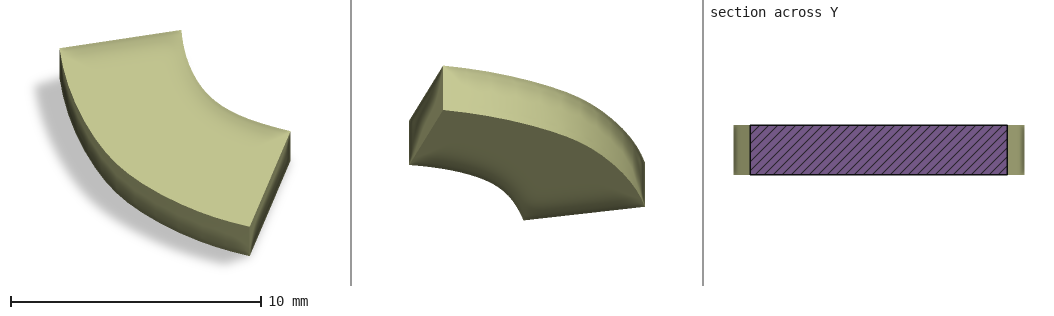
import cadquery as cq

width = 11.64
thickness = 2.0

outer_corner_height = 2.0
outer_flank_points = [(2.04, 0.29), (4.07, 1.01)]
outer_right_corner = (width / 2, outer_corner_height)
outer_left_corner = (-width / 2, outer_corner_height)

inner_right_corner = (3.32, 6.32)
inner_left_corner = (-3.32, 6.29)
inner_curve_points = [(1.82, 5.47), (0.7, 5.09), (-0.15, 5.0), (-0.99, 5.12), (-1.83, 5.4)]


def mirrored(points):
    """Reflect points across the Y axis."""
    return [(-x, y) for x, y in points]


outer_curve_points = mirrored(outer_flank_points[::-1]) + [(0, 0)] + outer_flank_points

result = (
    cq.Workplane("XY")
    .moveTo(*outer_left_corner)
    .spline(outer_curve_points + [outer_right_corner], includeCurrent=True)
    .lineTo(*inner_right_corner)
    .spline(inner_curve_points + [inner_left_corner], includeCurrent=True)
    .close()
    .extrude(thickness)
)